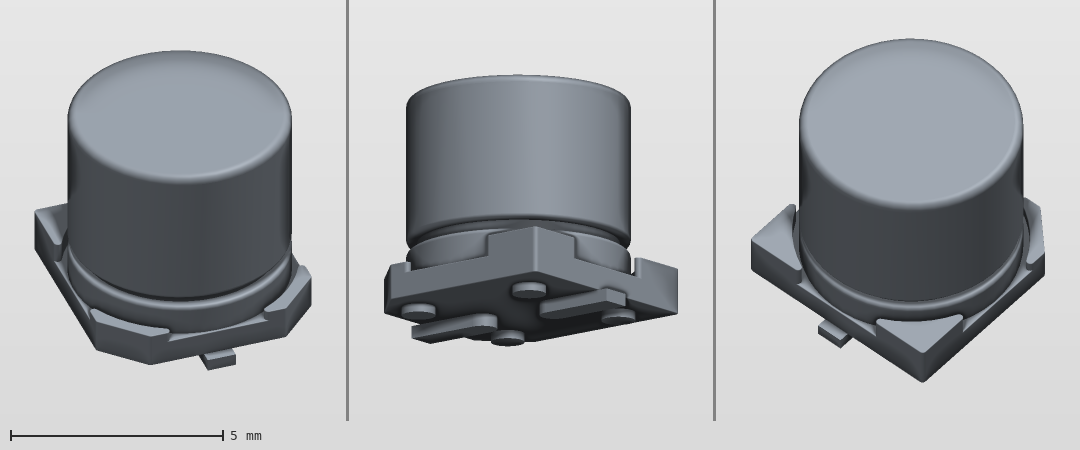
import cadquery as cq

total_height = 5.4
total_length = 5.9

base_side = 5.4
base_bottom = 0.3
plate_top = 0.9
corner_cut = 1.0
corner_radius = 0.1
edge_radius = 0.02
post_bore_radius = 2.8
tall_post_top = 1.4
short_post_top = 1.15

can_diameter = 5.3
can_top_radius = 0.2
groove_diameter = 4.8
groove_bottom = 1.65
groove_top = 1.9
groove_lip_radius = 0.1

lead_width = 0.7
lead_inner_gap = 1.48
peg_diameter = 0.8
peg_offset = 1.675
peg_bottom = 0.1

half_side = base_side / 2


def base_prism(bottom, top):
    """Square prism with the two +X corners cut at 45 degrees, corners still sharp."""
    cut_start = half_side - corner_cut
    return (
        cq.Workplane("XY", origin=(0, 0, bottom))
        .moveTo(-half_side, -half_side)
        .lineTo(cut_start, -half_side)
        .lineTo(half_side, -cut_start)
        .lineTo(half_side, cut_start)
        .lineTo(cut_start, half_side)
        .lineTo(-half_side, half_side)
        .close()
        .extrude(top - bottom)
    )


def make_plate():
    """Base plate with rounded corners and softened top and bottom edges."""
    plate = base_prism(base_bottom, plate_top).edges("|Z").fillet(corner_radius)
    return plate.faces("|Z").edges().fillet(edge_radius)


def make_post(side_x, side_y, top):
    """One corner post, rooted just below the softened top edge of the plate."""
    root = plate_top - 2 * edge_radius
    quadrant = cq.Workplane("XY").box(half_side, half_side, total_height, centered=(True, True, False))
    quadrant = quadrant.translate((side_x * half_side / 2, side_y * half_side / 2, 0))
    bore = cq.Workplane("XY").circle(post_bore_radius).extrude(total_height)
    post = base_prism(root, top).intersect(quadrant).cut(bore)
    post = post.edges("|Z").fillet(corner_radius)
    return post.faces(">Z").edges().fillet(edge_radius)


def make_can():
    """Can with a crimp groove above the base and rounded lips on both sides of it."""
    can_radius = can_diameter / 2
    groove_radius = groove_diameter / 2

    lower = cq.Workplane("XY", origin=(0, 0, plate_top)).circle(can_radius)
    lower = lower.extrude(groove_bottom - plate_top)
    lower = lower.faces(">Z").edges().fillet(groove_lip_radius)

    neck = cq.Workplane("XY", origin=(0, 0, groove_bottom)).circle(groove_radius)
    neck = neck.extrude(groove_top - groove_bottom)

    upper = cq.Workplane("XY", origin=(0, 0, groove_top)).circle(can_radius)
    upper = upper.extrude(total_height - groove_top)
    upper = upper.faces("<Z").edges().fillet(groove_lip_radius)
    upper = upper.faces(">Z").edges().fillet(can_top_radius)
    return lower.union(neck).union(upper)


def make_lead(side_x):
    """Flat lead with a half-round inner tip under the base and a square outer end."""
    half_width = lead_width / 2
    tip = side_x * lead_inner_gap / 2
    round_start = tip + side_x * half_width
    outer_end = side_x * total_length / 2
    return (
        cq.Workplane("XY")
        .moveTo(outer_end, -half_width)
        .lineTo(round_start, -half_width)
        .threePointArc((tip, 0), (round_start, half_width))
        .lineTo(outer_end, half_width)
        .close()
        .extrude(base_bottom)
    )


def make_pegs():
    """Four round support pegs under the base, clear of the board plane."""
    spacing = 2 * peg_offset
    centres = cq.Workplane("XY", origin=(0, 0, peg_bottom)).rect(spacing, spacing, forConstruction=True)
    return centres.vertices().circle(peg_diameter / 2).extrude(base_bottom - peg_bottom)


result = make_plate().union(make_can()).union(make_pegs())
for side_y in (-1, 1):
    result = result.union(make_post(-1, side_y, tall_post_top))
    result = result.union(make_post(1, side_y, short_post_top))
for side_x in (-1, 1):
    result = result.union(make_lead(side_x))